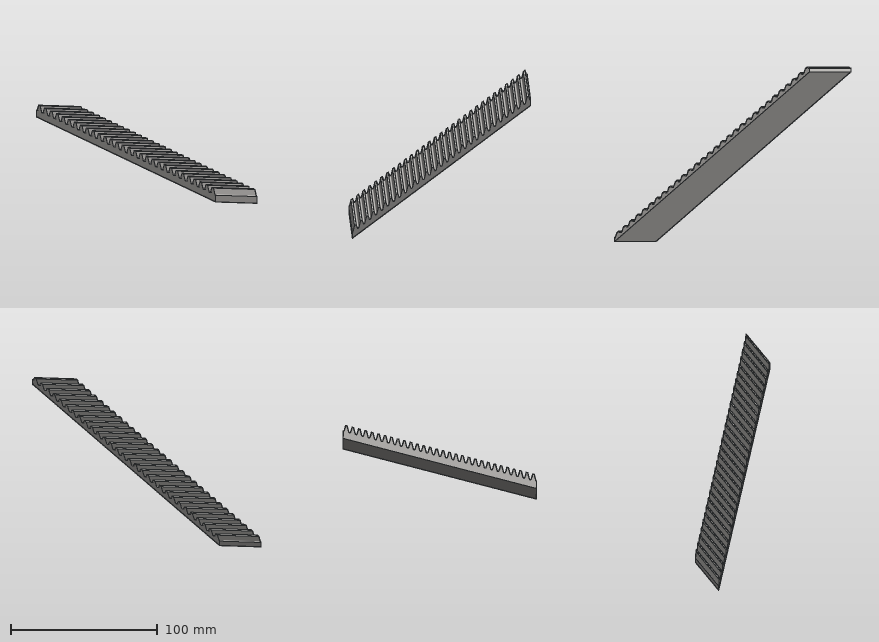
import cadquery as cq
import math


overall_length = 208.5
face_width = 20.0
height = 9.5
tooth_count = 30
helix_angle = math.radians(45)
pressure_angle = math.radians(20)

ADDENDUM_FACTOR = 1.0
DEDENDUM_FACTOR = 1.25
ROOT_FILLET_FACTOR = 0.38

skew = face_width * math.tan(helix_angle)
rack_length = overall_length - skew
pitch = rack_length / tooth_count
module = pitch / math.pi
addendum = ADDENDUM_FACTOR * module
dedendum = DEDENDUM_FACTOR * module

root_z = height - addendum - dedendum
tip_half_gap = pitch / 4 + addendum * math.tan(pressure_angle)
root_half_gap = pitch / 4 - dedendum * math.tan(pressure_angle)

fillet_radius = ROOT_FILLET_FACTOR * module
fillet_turn = math.pi / 2 - pressure_angle
tangent_length = fillet_radius * math.tan(fillet_turn / 2)
land_half_width = root_half_gap - tangent_length
fillet_top_half_gap = root_half_gap + tangent_length * math.sin(pressure_angle)
fillet_top_z = root_z + tangent_length * math.cos(pressure_angle)
fillet_mid_half_gap = land_half_width + fillet_radius * math.sin(fillet_turn / 2)
fillet_mid_z = root_z + fillet_radius * (1 - math.cos(fillet_turn / 2))


def add_tooth(outline, start_x):
    """Draw one tooth from the middle of a tooth space to the middle of the next one."""
    end_x = start_x + pitch
    return (
        outline.lineTo(start_x + land_half_width, root_z)
        .threePointArc(
            (start_x + fillet_mid_half_gap, fillet_mid_z),
            (start_x + fillet_top_half_gap, fillet_top_z),
        )
        .lineTo(start_x + tip_half_gap, height)
        .lineTo(end_x - tip_half_gap, height)
        .lineTo(end_x - fillet_top_half_gap, fillet_top_z)
        .threePointArc(
            (end_x - fillet_mid_half_gap, fillet_mid_z),
            (end_x - land_half_width, root_z),
        )
    )


def rack_profile():
    """Closed transverse outline; both ends lie in the middle of a tooth space."""
    outline = cq.Workplane("XZ").moveTo(0, 0).lineTo(0, root_z)
    for tooth in range(tooth_count):
        outline = add_tooth(outline, tooth * pitch)
    return outline.lineTo(rack_length, root_z).lineTo(rack_length, 0).close().val()


helix_direction = cq.Vector(skew, face_width, 0)
result = cq.Workplane(cq.Solid.extrudeLinear(rack_profile(), [], helix_direction))